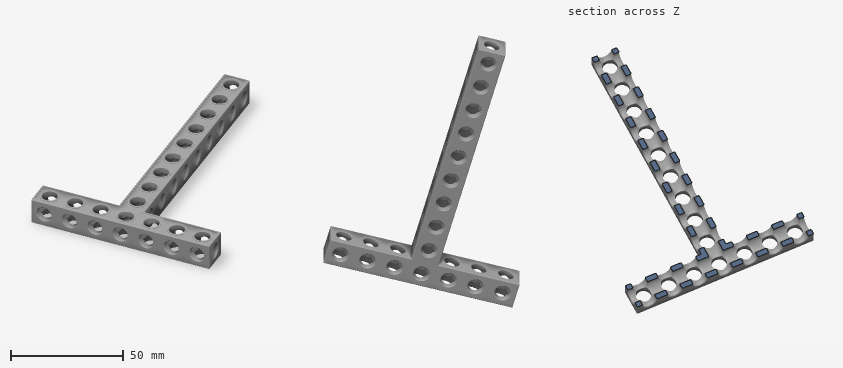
import cadquery as cq

pitch = 12.5
bar_hole_count = 7
stem_hole_count = 9
hole_diameter = 7.0
hole_chamfer = 0.3

beam = pitch
bar_length = bar_hole_count * pitch
stem_end_y = beam / 2 + stem_hole_count * pitch
edge_chamfer = 0.3
corner_radius = 0.3

rim_width = 1.1
ring_diameter = hole_diameter + 2 * rim_width
panel_depth = 0.2

bar_hole_xs = [(i - (bar_hole_count - 1) / 2) * pitch for i in range(bar_hole_count)]
stem_hole_ys = [(i + 1) * pitch for i in range(stem_hole_count)]
top_hole_points = [(x, 0) for x in bar_hole_xs] + [(0, y) for y in stem_hole_ys]


def tee_prism(inset, bottom_z, height):
    """T-shaped prism with every side moved inward by the inset."""
    half_beam = beam / 2 - inset
    half_bar = bar_length / 2 - inset
    end_y = stem_end_y - inset
    outline = [
        (-half_bar, -half_beam),
        (half_bar, -half_beam),
        (half_bar, half_beam),
        (half_beam, half_beam),
        (half_beam, end_y),
        (-half_beam, end_y),
        (-half_beam, half_beam),
        (-half_bar, half_beam),
    ]
    return cq.Workplane("XY").workplane(offset=bottom_z).polyline(outline).close().extrude(height)


def make_body():
    """Solid T with rounded outer corners and chamfered top and bottom edges."""
    body = tee_prism(0, -beam / 2, beam)
    body = body.edges("|Z and (<X or >X or >Y)").fillet(corner_radius)
    return body.faces("<Z or >Z").edges().chamfer(edge_chamfer)


def make_panel():
    """Sunken area of the top face, without the rings around the holes."""
    floor_z = beam / 2 - panel_depth
    rings = (
        cq.Workplane("XY")
        .workplane(offset=floor_z)
        .pushPoints(top_hole_points)
        .circle(ring_diameter / 2)
        .extrude(panel_depth)
    )
    return tee_prism(rim_width, floor_z, panel_depth).cut(rings)


def bore(length):
    """Cutter along Z, centred on the origin, for a hole countersunk at both ends."""
    radius = hole_diameter / 2
    mouth_radius = radius + hole_chamfer
    end = length / 2
    neck = end - hole_chamfer
    profile = [
        (0, -end),
        (mouth_radius, -end),
        (radius, -neck),
        (radius, neck),
        (mouth_radius, end),
        (0, end),
    ]
    return cq.Workplane("XZ").polyline(profile).close().revolve(360, (0, 0, 0), (0, 1, 0))


def bore_along_x(length):
    return bore(length).rotate((0, 0, 0), (0, 1, 0), 90)


def bore_along_y(length):
    return bore(length).rotate((0, 0, 0), (1, 0, 0), 90)


result = make_body().cut(make_panel())

for x, y in top_hole_points:
    result = result.cut(bore(beam).translate((x, y, 0)))

for x in bar_hole_xs:
    if x != 0:
        result = result.cut(bore_along_y(beam).translate((x, 0, 0)))
stem_bore_length = stem_end_y + beam / 2
stem_bore_centre_y = (stem_end_y - beam / 2) / 2
result = result.cut(bore_along_y(stem_bore_length).translate((0, stem_bore_centre_y, 0)))

for y in stem_hole_ys:
    result = result.cut(bore_along_x(beam).translate((0, y, 0)))
result = result.cut(bore_along_x(bar_length))